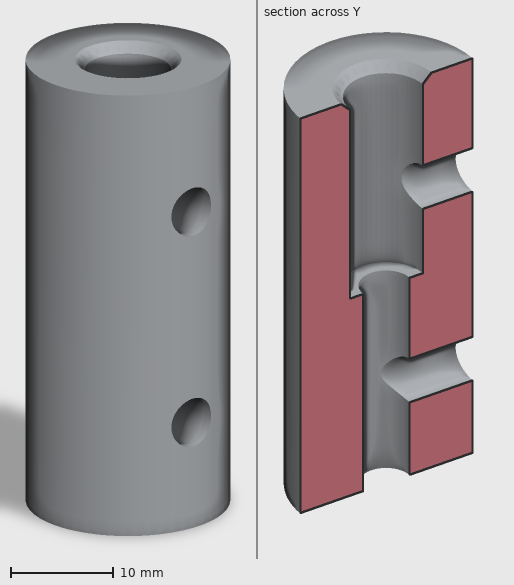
import cadquery as cq

length = 46.0
body_diameter = 20.0

bore_diameter = 5.4
counterbore_diameter = 8.4
counterbore_depth = 23.0
mouth_chamfer = 1.0

side_hole_diameter = 5.0
side_hole_heights = (11.0, 33.0)


def vertical_cylinder(diameter, bottom, height):
    return cq.Workplane("XY").workplane(offset=bottom).circle(diameter / 2).extrude(height)


def side_hole(height):
    """Cylinder running from the body axis out through the +X wall."""
    return (
        cq.Workplane("YZ")
        .center(0, height)
        .circle(side_hole_diameter / 2)
        .extrude(body_diameter)
    )


body = vertical_cylinder(body_diameter, 0, length)
bore = vertical_cylinder(bore_diameter, 0, length)
counterbore = vertical_cylinder(counterbore_diameter, length - counterbore_depth, counterbore_depth)

result = body.cut(bore).cut(counterbore)

result = result.faces(">Z").edges(cq.selectors.RadiusNthSelector(0)).chamfer(mouth_chamfer)

for hole_height in side_hole_heights:
    result = result.cut(side_hole(hole_height))